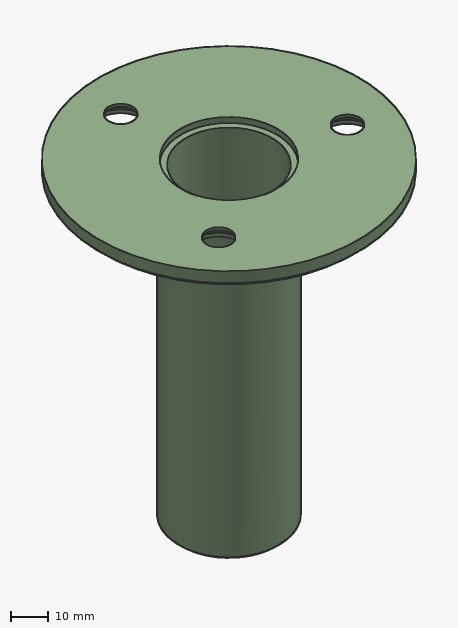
import cadquery as cq

TOTAL_HEIGHT = 120.0

FLANGE_DIAMETER = 100.0
FLANGE_THICKNESS = 6.0
FLANGE_CHAMFER = 2.0
BOLT_COUNT = 3
BOLT_CIRCLE_RADIUS = 35.0
BOLT_HOLE_DIAMETER = 9.0
HEAD_RECESS_DIAMETER = 16.5
HEAD_RECESS_DEPTH = 1.3
FIRST_BOLT_ANGLE = 90.0

TUBE_DIAMETER = 38.5
TUBE_BORE_DIAMETER = 33.0
TUBE_CHAMFER = 1.3
SPIGOT_DIAMETER = 37.0
SPIGOT_RECESS = 2.0

FLANGE_BOTTOM = TOTAL_HEIGHT - FLANGE_THICKNESS
SPIGOT_LENGTH = FLANGE_THICKNESS - SPIGOT_RECESS


def make_bolt_hole_cutter():
    """Stepped cutter on the +X axis: head recess, countersink cone and clearance hole."""
    hole_radius = BOLT_HOLE_DIAMETER / 2
    head_radius = HEAD_RECESS_DIAMETER / 2
    recess_top = FLANGE_BOTTOM + HEAD_RECESS_DEPTH
    cone_top = recess_top + head_radius - hole_radius
    profile = [
        (0, FLANGE_BOTTOM),
        (head_radius, FLANGE_BOTTOM),
        (head_radius, recess_top),
        (hole_radius, cone_top),
        (hole_radius, TOTAL_HEIGHT),
        (0, TOTAL_HEIGHT),
    ]
    cutter = cq.Workplane("XZ").polyline(profile).close().revolve(360, (0, 0), (0, 1))
    return cutter.translate((BOLT_CIRCLE_RADIUS, 0, 0))


def make_flange():
    """Disc with a chamfered lower rim, a central bore and bolt holes countersunk from below."""
    disc = (
        cq.Workplane("XY", origin=(0, 0, FLANGE_BOTTOM))
        .circle(FLANGE_DIAMETER / 2)
        .extrude(FLANGE_THICKNESS)
        .faces("<Z")
        .chamfer(FLANGE_CHAMFER)
    )
    bored = disc.faces(">Z").workplane().hole(SPIGOT_DIAMETER)
    bolt_hole = make_bolt_hole_cutter()
    for index in range(BOLT_COUNT):
        angle = FIRST_BOLT_ANGLE + index * 360 / BOLT_COUNT
        bored = bored.cut(bolt_hole.rotate((0, 0, 0), (0, 0, 1), angle))
    return bored


def make_tube():
    """Open tube with a chamfered lower end and a spigot at the upper end."""
    shaft = (
        cq.Workplane("XY")
        .circle(TUBE_DIAMETER / 2)
        .extrude(FLANGE_BOTTOM)
        .faces("<Z")
        .chamfer(TUBE_CHAMFER)
    )
    with_spigot = shaft.faces(">Z").workplane().circle(SPIGOT_DIAMETER / 2).extrude(SPIGOT_LENGTH)
    return with_spigot.faces(">Z").workplane().hole(TUBE_BORE_DIAMETER)


flange = make_flange()
tube = make_tube()

result = cq.Compound.makeCompound([flange.val(), tube.val()])